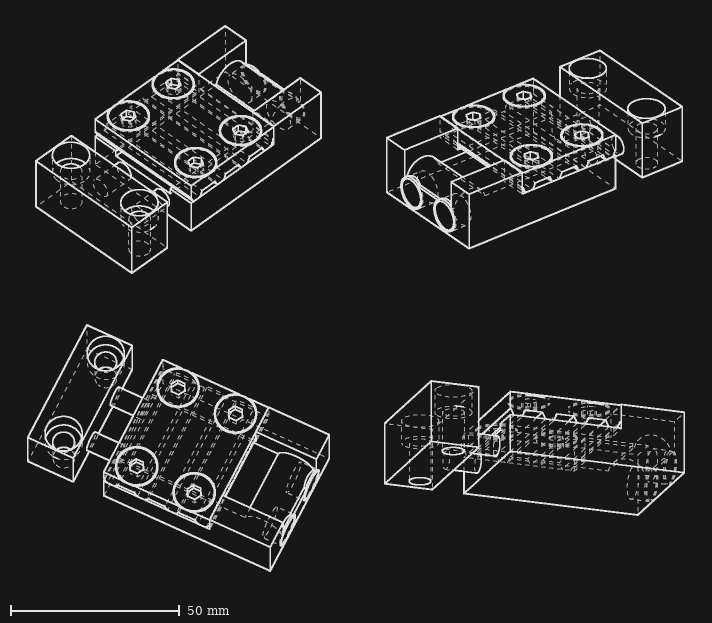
import cadquery as cq
import math

WIDTH = 40.0
LENGTH = 80.0
HEIGHT = 19.0
MID_X = WIDTH / 2

BLOCK_LENGTH = 15.0
MOUNT_EDGE = 5.8
MOUNT_Y = 9.0
MOUNT_DIAMETER = 6.5
MOUNT_BORE_DIAMETER = 11.0
MOUNT_BORE_DEPTH = 6.8

BLOCK_GAP = 10.0
BED_FRONT = BLOCK_LENGTH + BLOCK_GAP
BED_TOP = 11.5
ARM_FRONT = 60.0
CHANNEL_WIDTH = 22.6
CHANNEL_FLOOR = 9.5

ROLLER_DIAMETER = 12.0
ROLLER_Y = 73.2
ROLLER_Z = 8.0

BOLT_SPACING = 16.0
BOLT_Z = 5.6
BOLT_DIAMETER = 6.0
BOLT_HEAD_DIAMETER = 10.0
BOLT_HEAD_LENGTH = 6.0
BOLT_HEAD_CHAMFER = 0.5
BOLT_BORE_DIAMETER = 10.1

PLATE_LENGTH = ARM_FRONT - BED_FRONT
PLATE_TOP = 18.8
TOOTH_ROOT = 13.5
TOOTH_COUNT = 4
TOOTH_PITCH = 10.0
FIRST_TOOTH_Y = 27.4
TOOTH_TIP_WIDTH = 2.7
TOOTH_FLANK_ANGLE = 25.0

SCREW_EDGE = 6.0
SCREW_FRONT_Y = 33.0
SCREW_BACK_Y = 52.0
SCREW_HEAD_DIAMETER = 12.0
SCREW_RECESS_DIAMETER = 12.5
SCREW_RECESS_DEPTH = 0.5
SOCKET_ACROSS_FLATS = 4.0
SOCKET_DEPTH = 2.5
HEXAGON_SIDES = 6
HEXAGON_HALF_SECTOR = 180.0 / HEXAGON_SIDES


def box(x_size, y_size, z_size, x=0.0, y=0.0, z=0.0):
    """Box with its lowest corner at (x, y, z)."""
    return cq.Workplane("XY").box(x_size, y_size, z_size, centered=False).translate((x, y, z))


def cylinder_along_y(diameter, x, z, y_start, y_end):
    plane = cq.Plane(origin=(x, y_start, z), xDir=(1, 0, 0), normal=(0, 1, 0))
    return cq.Workplane(plane).circle(diameter / 2).extrude(y_end - y_start)


def mirrored(distance):
    """The two places at this distance on either side of the middle plane."""
    return (MID_X - distance, MID_X + distance)


def end_block():
    mount_points = [(x, MOUNT_Y) for x in mirrored(MID_X - MOUNT_EDGE)]
    return (
        box(WIDTH, BLOCK_LENGTH, HEIGHT)
        .faces(">Z")
        .workplane(origin=(0, 0, HEIGHT))
        .pushPoints(mount_points)
        .cboreHole(MOUNT_DIAMETER, MOUNT_BORE_DIAMETER, MOUNT_BORE_DEPTH)
    )


def carriage():
    bed = box(WIDTH, LENGTH - BED_FRONT, BED_TOP, y=BED_FRONT)
    arms = box(WIDTH, LENGTH - ARM_FRONT, HEIGHT, y=ARM_FRONT)
    channel = box(
        CHANNEL_WIDTH,
        LENGTH - BED_FRONT,
        HEIGHT - CHANNEL_FLOOR,
        x=MID_X - CHANNEL_WIDTH / 2,
        y=BED_FRONT,
        z=CHANNEL_FLOOR,
    )
    return bed.union(arms).cut(channel)


def roller():
    return (
        cq.Workplane("YZ", origin=(MID_X, ROLLER_Y, ROLLER_Z))
        .circle(ROLLER_DIAMETER / 2)
        .extrude(CHANNEL_WIDTH / 2, both=True)
    )


def bolt_bore(x):
    return cylinder_along_y(BOLT_BORE_DIAMETER, x, BOLT_Z, LENGTH - BOLT_HEAD_LENGTH, LENGTH)


def bolt(x):
    """Shank from the end block to the head, whose end is level with the back of the arms."""
    head_seat = LENGTH - BOLT_HEAD_LENGTH
    shank = cylinder_along_y(BOLT_DIAMETER, x, BOLT_Z, BLOCK_LENGTH, head_seat)
    head = cylinder_along_y(BOLT_HEAD_DIAMETER, x, BOLT_Z, head_seat, LENGTH)
    return shank.union(head.faces(">Y").chamfer(BOLT_HEAD_CHAMFER))


def tensioner_frame():
    """Carriage, roller, bolts and end block as one solid."""
    frame = carriage().union(roller())
    bolt_places = mirrored(BOLT_SPACING / 2)
    for x in bolt_places:
        frame = frame.cut(bolt_bore(x))
    for x in bolt_places:
        frame = frame.union(bolt(x))
    return frame.union(end_block())


def belt_tooth(y):
    half_tip = TOOTH_TIP_WIDTH / 2
    flank_run = (TOOTH_ROOT - BED_TOP) * math.tan(math.radians(TOOTH_FLANK_ANGLE))
    half_root = half_tip + flank_run
    return (
        cq.Workplane("YZ")
        .moveTo(y - half_root, TOOTH_ROOT)
        .lineTo(y - half_tip, BED_TOP)
        .lineTo(y + half_tip, BED_TOP)
        .lineTo(y + half_root, TOOTH_ROOT)
        .close()
        .extrude(WIDTH)
    )


def screw_clearance(x, y):
    """Shallow ring between a screw head and the edge of its recess."""
    return (
        cq.Workplane("XY", origin=(x, y, PLATE_TOP))
        .circle(SCREW_RECESS_DIAMETER / 2)
        .circle(SCREW_HEAD_DIAMETER / 2)
        .extrude(-SCREW_RECESS_DEPTH)
    )


def hex_socket(x, y):
    across_corners = SOCKET_ACROSS_FLATS / math.cos(math.radians(HEXAGON_HALF_SECTOR))
    return (
        cq.Workplane("XY", origin=(x, y, PLATE_TOP))
        .transformed(rotate=(0, 0, HEXAGON_HALF_SECTOR))
        .polygon(HEXAGON_SIDES, across_corners)
        .extrude(-SOCKET_DEPTH)
    )


def clamp_plate():
    """Toothed plate together with its four screw heads."""
    plate = box(WIDTH, PLATE_LENGTH, PLATE_TOP - TOOTH_ROOT, y=BED_FRONT, z=TOOTH_ROOT)
    for index in range(TOOTH_COUNT):
        plate = plate.union(belt_tooth(FIRST_TOOTH_Y + index * TOOTH_PITCH))
    for x in mirrored(MID_X - SCREW_EDGE):
        for y in (SCREW_FRONT_Y, SCREW_BACK_Y):
            plate = plate.cut(screw_clearance(x, y)).cut(hex_socket(x, y))
    return plate


frame_body = tensioner_frame()
plate_body = clamp_plate()

result = cq.Compound.makeCompound([*frame_body.solids().vals(), *plate_body.solids().vals()])